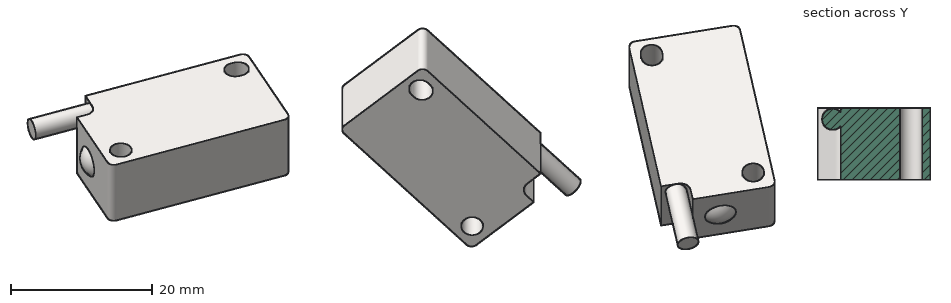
import cadquery as cq
import math

width = 16.0
height = 10.2
total_length = 34.0
body_length = 27.8
corner_radius = 1.0

notch_width = 4.0
notch_depth = 3.0
notch_radius = 1.45

cable_diameter = 3.03
cable_x = 2.15
cable_top_gap = 0.1
cable_end_y = body_length - total_length

hole_diameter = 3.1
slot_length = 3.55
hole_side_inset = 2.75
hole_front_inset = 2.82
slot_side_inset = 2.9
slot_back_inset = 2.75

lens_diameter = 4.5
lens_height = 1.0


def make_housing():
    body = cq.Workplane("XY").box(width, body_length, height, centered=False)
    notch = cq.Workplane("XY").box(notch_width, notch_depth, height, centered=False)
    notch = notch.edges("|Z and >X and >Y").fillet(notch_radius)
    body = body.edges("|Z and (>X or >Y)").fillet(corner_radius)
    return body.cut(notch)


def make_mounting_holes():
    hole = (
        cq.Workplane("XY")
        .center(width - hole_side_inset, hole_front_inset)
        .circle(hole_diameter / 2)
        .extrude(height)
    )
    slot = (
        cq.Workplane("XY")
        .center(slot_side_inset, body_length - slot_back_inset)
        .slot2D(slot_length, hole_diameter, 90)
        .extrude(height)
    )
    return hole.union(slot)


def make_cable():
    cable_z = height - cable_top_gap - cable_diameter / 2
    return (
        cq.Workplane("XZ", origin=(cable_x, notch_depth, cable_z))
        .circle(cable_diameter / 2)
        .extrude(notch_depth - cable_end_y)
    )


def make_lens():
    rim = lens_diameter / 2
    sphere_radius = (rim**2 + lens_height**2) / (2 * lens_height)
    sphere_center_y = sphere_radius - lens_height
    middle_angle = math.asin(rim / sphere_radius) / 2
    arc_middle = (
        sphere_radius * math.sin(middle_angle),
        sphere_center_y - sphere_radius * math.cos(middle_angle),
    )
    return (
        cq.Workplane("XY", origin=(width / 2, 0, height / 2))
        .lineTo(rim, 0)
        .threePointArc(arc_middle, (0, -lens_height))
        .close()
        .revolve(360, (0, 0, 0), (0, 1, 0))
    )


housing = make_housing().cut(make_mounting_holes())
result = housing.union(make_cable()).union(make_lens())